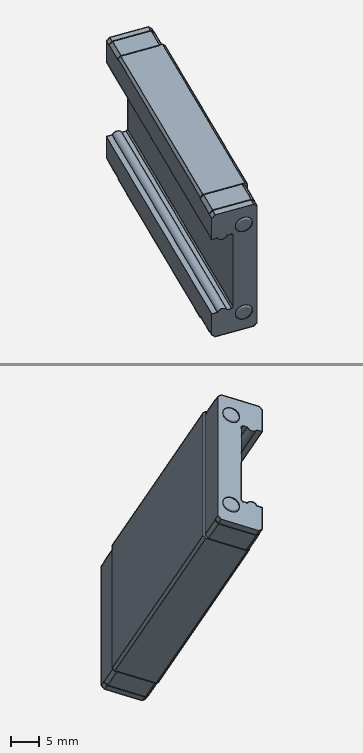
import cadquery as cq

LENGTH = 50.3
DEPTH = 9.0
HEIGHT = 30.0

PIN_HEIGHT = 0.35
PLATE_THICKNESS = 1.2
CAP_LENGTH = 4.25
BODY_LENGTH = LENGTH - 2 * PIN_HEIGHT
CAPPED_LENGTH = BODY_LENGTH - 2 * PLATE_THICKNESS
BLOCK_LENGTH = CAPPED_LENGTH - 2 * CAP_LENGTH

BACK_STEP = 0.35
CAP_SIDE_STEP = 0.15
PLATE_SIDE_STEP = 0.3
BLOCK_CHAMFER = 0.5
CAP_CHAMFER = 0.65

CHANNEL_DEPTH = 4.05
CHANNEL_CORNER_CHAMFER = 0.3
CHANNEL_HEIGHT = 17.9
RIDGE_RADIUS = 1.0
RIDGE_PROJECTION = 0.6
RIDGE_FROM_FRONT = 2.0

PIN_RADIUS = 1.6
PIN_FROM_FRONT = 6.1
PIN_SPACING = 21.15

FRONT_Y = -DEPTH / 2


def chamfered_bar(length, depth, height, chamfer):
    """Bar centred in X and Z, flush with the front, with chamfered long edges."""
    bar = cq.Workplane("XY").box(length, depth, height)
    bar = bar.edges("|X").chamfer(chamfer)
    return bar.translate((0, FRONT_Y + depth / 2, 0))


def channel():
    """Channel cutter with chamfered floor corners and a rounded raceway ridge left on each wall."""
    cutter = cq.Workplane("XY").box(BODY_LENGTH, CHANNEL_DEPTH, CHANNEL_HEIGHT)
    cutter = cutter.edges("|X and >Y").chamfer(CHANNEL_CORNER_CHAMFER)
    cutter = cutter.translate((0, FRONT_Y + CHANNEL_DEPTH / 2, 0))
    ridge_z = CHANNEL_HEIGHT / 2 - RIDGE_PROJECTION + RIDGE_RADIUS
    for side in (-1, 1):
        ridge = (
            cq.Workplane("YZ")
            .center(FRONT_Y + RIDGE_FROM_FRONT, side * ridge_z)
            .circle(RIDGE_RADIUS)
            .extrude(BODY_LENGTH / 2, both=True)
        )
        cutter = cutter.cut(ridge)
    return cutter


def pin(z):
    """Pin set in the +X end plate, its protruding head having a quarter-round edge."""
    half_body = BODY_LENGTH / 2
    half_length = LENGTH / 2
    flat_radius = PIN_RADIUS - PIN_HEIGHT
    round_offset = PIN_HEIGHT * 0.5 ** 0.5
    arc_x = half_body + round_offset
    arc_y = flat_radius + round_offset
    head = (
        cq.Workplane("XY")
        .moveTo(half_body - PLATE_THICKNESS, 0)
        .lineTo(half_body - PLATE_THICKNESS, PIN_RADIUS)
        .lineTo(half_body, PIN_RADIUS)
        .threePointArc((arc_x, arc_y), (half_length, flat_radius))
        .lineTo(half_length, 0)
        .close()
        .revolve(360, (0, 0, 0), (1, 0, 0))
    )
    return head.translate((0, FRONT_Y + PIN_FROM_FRONT, z))


cap_depth = DEPTH - BACK_STEP
cap_height = HEIGHT - 2 * CAP_SIDE_STEP
plate_height = HEIGHT - 2 * PLATE_SIDE_STEP
result = chamfered_bar(BLOCK_LENGTH, DEPTH, HEIGHT, BLOCK_CHAMFER)
result = result.union(chamfered_bar(CAPPED_LENGTH, cap_depth, cap_height, CAP_CHAMFER))
result = result.union(chamfered_bar(BODY_LENGTH, cap_depth, plate_height, CAP_CHAMFER))
result = result.cut(channel())

for pin_z in (-PIN_SPACING / 2, PIN_SPACING / 2):
    end_pin = pin(pin_z)
    result = result.union(end_pin).union(end_pin.mirror("YZ"))